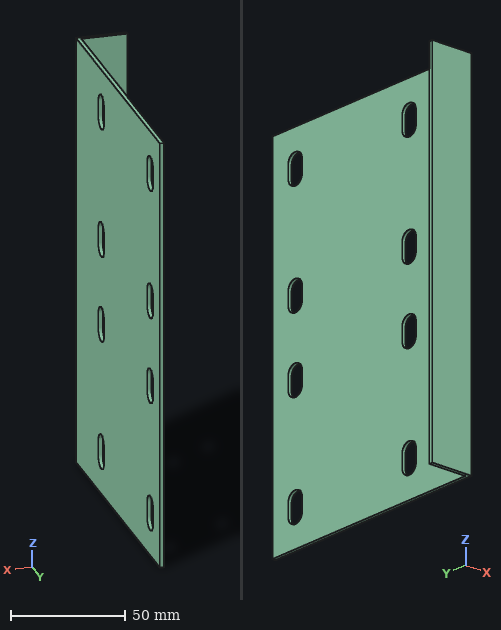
import cadquery as cq

flange_width = 23.0
plate_width = 129.0
height = 200.0
thickness = 2.0

slot_width = 9.0
slot_length = 16.0
slot_edge_distance = 15.0
slot_column_spacing = 75.0
outer_row_offset = 80.0
inner_row_offset = 20.0


def make_angle():
    """L-section with sharp corners, extruded to full height and centred on Z."""
    profile = [
        (0, 0),
        (flange_width, 0),
        (flange_width, plate_width),
        (flange_width - thickness, plate_width),
        (flange_width - thickness, thickness),
        (0, thickness),
    ]
    return cq.Workplane("XY").polyline(profile).close().extrude(height / 2, both=True)


def make_slots():
    """Cutters for two columns of four slots, symmetric about mid-height."""
    outer_column = plate_width - slot_edge_distance
    columns = [outer_column, outer_column - slot_column_spacing]
    rows = [-outer_row_offset, -inner_row_offset, inner_row_offset, outer_row_offset]
    centres = [(y, z) for y in columns for z in rows]
    return (
        cq.Workplane("YZ", origin=(flange_width - thickness, 0, 0))
        .pushPoints(centres)
        .slot2D(slot_length, slot_width, 90)
        .extrude(thickness)
    )


result = make_angle().cut(make_slots())